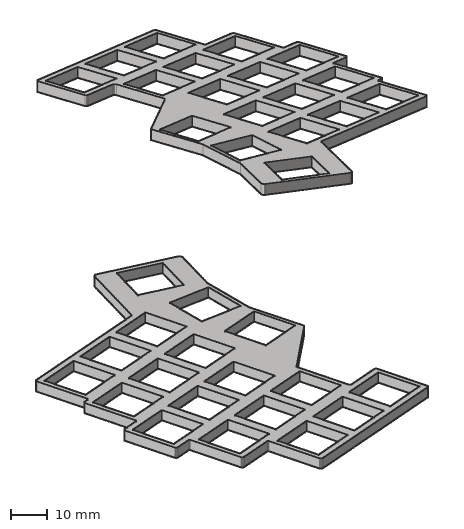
import cadquery as cq
import math

PLATE_LENGTH = 111.4
THICKNESS = 3.2
HOLE_SIZE = 13.8
CORNER_RADIUS = 0.7
STEP_RADIUS = 0.3
THUMB_CORNER_RADIUS = 1.0

FINGER_WIDTH = 89.8
COLUMN_HEIGHT = 50.9
KEYS_PER_COLUMN = 3
COLUMN_TOPS = [72.1, 84.0, 90.0, 83.6, 81.1]
COLUMN_PITCH = FINGER_WIDTH / len(COLUMN_TOPS)
ROW_PITCH = COLUMN_HEIGHT / KEYS_PER_COLUMN

INNER_THUMB = (56.9, 21.0, 0)
MIDDLE_THUMB = (77.1, 18.5, -15)
THUMB_EDGE = 8.2
OUTER_HALF_WIDTH = 8.6
OUTER_HALF_LENGTH = 13.3
OUTER_ANGLE = -30

tilt = math.radians(-OUTER_ANGLE)
straight_width = OUTER_HALF_WIDTH - THUMB_CORNER_RADIUS
straight_length = OUTER_HALF_LENGTH - THUMB_CORNER_RADIUS
OUTER_THUMB = (
    PLATE_LENGTH
    - (straight_width * math.cos(tilt) + straight_length * math.sin(tilt) + THUMB_CORNER_RADIUS),
    straight_width * math.sin(tilt) + straight_length * math.cos(tilt) + THUMB_CORNER_RADIUS,
    OUTER_ANGLE,
)

SLANT_START = 36.1


def thumb_point(thumb, along, across):
    """Plate position of a point given in a thumb key's own rotated axes."""
    x, y, degrees = thumb
    angle = math.radians(degrees)
    return (
        x + along * math.cos(angle) - across * math.sin(angle),
        y + along * math.sin(angle) + across * math.cos(angle),
    )


def stepped_top():
    """Left and right top corner of each column, from left to right."""
    points = []
    for column, top in enumerate(COLUMN_TOPS):
        points.append((column * COLUMN_PITCH, top))
        points.append(((column + 1) * COLUMN_PITCH, top))
    return points


outer_upper = thumb_point(OUTER_THUMB, OUTER_HALF_WIDTH, OUTER_HALF_LENGTH)
outer_lower = thumb_point(OUTER_THUMB, OUTER_HALF_WIDTH, -OUTER_HALF_LENGTH)
outer_slope = math.tan(math.radians(OUTER_ANGLE))
columns_meet_thumb = (FINGER_WIDTH, outer_upper[1] + (FINGER_WIDTH - outer_upper[0]) * outer_slope)

thumb_lower_edge = [
    thumb_point(MIDDLE_THUMB, COLUMN_PITCH / 2, -THUMB_EDGE),
    thumb_point(MIDDLE_THUMB, -COLUMN_PITCH / 2, -THUMB_EDGE),
    thumb_point(INNER_THUMB, -COLUMN_PITCH / 2, -THUMB_EDGE),
]

first_bottom = COLUMN_TOPS[0] - COLUMN_HEIGHT
second_bottom = COLUMN_TOPS[1] - COLUMN_HEIGHT
columns_lower_edge = [
    (SLANT_START, second_bottom),
    (COLUMN_PITCH, second_bottom),
    (COLUMN_PITCH, first_bottom),
    (0, first_bottom),
]

outline = (
    stepped_top()
    + [columns_meet_thumb, outer_upper, outer_lower]
    + thumb_lower_edge
    + columns_lower_edge
)
plate = cq.Workplane("XY").polyline(outline).close().extrude(THICKNESS)


def round_corners(body, corners, radius):
    """Fillet the vertical edges that stand on the given corners."""
    for x, y in corners:
        edge = cq.selectors.NearestToPointSelector((x, y, THICKNESS / 2))
        body = body.edges("|Z").edges(edge).fillet(radius)
    return body


inward_corners = []
outward_corners = []
for index, top in enumerate(COLUMN_TOPS):
    left, right = stepped_top()[2 * index : 2 * index + 2]
    lower_than_left = index > 0 and COLUMN_TOPS[index - 1] > top
    lower_than_right = index + 1 < len(COLUMN_TOPS) and COLUMN_TOPS[index + 1] > top
    (inward_corners if lower_than_left else outward_corners).append(left)
    (inward_corners if lower_than_right else outward_corners).append(right)

plate = round_corners(plate, outward_corners + columns_lower_edge, CORNER_RADIUS)
plate = round_corners(plate, inward_corners, STEP_RADIUS)
plate = round_corners(plate, [outer_upper, outer_lower], THUMB_CORNER_RADIUS)


def key_cutter(x, y, degrees):
    """Square through-hole cutter for one key switch."""
    cutter = cq.Workplane("XY").rect(HOLE_SIZE, HOLE_SIZE).extrude(THICKNESS)
    return cutter.rotate((0, 0, 0), (0, 0, 1), degrees).translate((x, y, 0))


keys = [INNER_THUMB, MIDDLE_THUMB, OUTER_THUMB]
for column, top in enumerate(COLUMN_TOPS):
    for row in range(KEYS_PER_COLUMN):
        keys.append(((column + 0.5) * COLUMN_PITCH, top - (row + 0.5) * ROW_PITCH, 0))

for key in keys:
    plate = plate.cut(key_cutter(*key))

result = plate